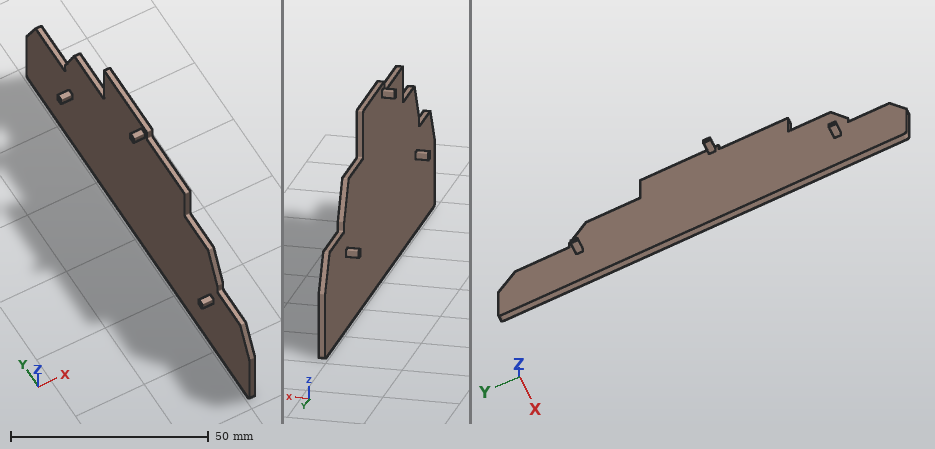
import cadquery as cq

plate_thickness = 1.7
peg_length = 3.3
plate_length = 114.7
plate_height = 52.8
half_length = plate_length / 2

lower_slope_base = 17.6
lower_shoulder = 27.3
upper_slope_base = 29.9
upper_shoulder = 40.0
notch_floor = 49.8

lower_shoulder_end = 52.6
upper_left_wall = 37.4
upper_right_wall = -40.9
upper_left_shoulder_end = 32.7
upper_right_shoulder_end = -36.1
top_left_wall = 17.5
top_right_wall = -24.1
notch_wall = -4.6

bottom_corner_radius = 1.0
step_corner_radius = 0.35

peg_width = 1.9
peg_edge_radius = 0.2
peg_centers = [(-2.8, 50.3), (34.5, 20.75), (-38.05, 20.75)]


def make_plate():
    bottom_corners = [(half_length, 0), (-half_length, 0)]
    step_corners = [
        (-half_length, lower_slope_base),
        (-lower_shoulder_end, lower_shoulder),
        (upper_right_wall, lower_shoulder),
        (upper_right_wall, upper_slope_base),
        (upper_right_shoulder_end, upper_shoulder),
        (top_right_wall, upper_shoulder),
        (top_right_wall, notch_floor),
        (notch_wall, notch_floor),
        (notch_wall, plate_height),
        (top_left_wall, plate_height),
        (top_left_wall, upper_shoulder),
        (upper_left_shoulder_end, upper_shoulder),
        (upper_left_wall, upper_slope_base),
        (upper_left_wall, lower_shoulder),
        (lower_shoulder_end, lower_shoulder),
        (half_length, lower_slope_base),
    ]
    outline = bottom_corners + step_corners
    plate = cq.Workplane("YZ").polyline(outline).close().extrude(plate_thickness)
    plate = round_corners(plate, bottom_corners, bottom_corner_radius)
    return round_corners(plate, step_corners, step_corner_radius)


def round_corners(plate, corners, radius):
    """Fillet the through-thickness edge at each (y, z) outline corner."""
    for y, z in corners:
        edge_middle = (plate_thickness / 2, y, z)
        plate = plate.edges(cq.NearestToPointSelector(edge_middle)).fillet(radius)
    return plate


def make_peg(y, z):
    """Peg running from the plate's -X face toward -X."""
    peg = cq.Workplane("YZ").center(y, z).rect(peg_width, peg_width).extrude(-peg_length)
    return peg.edges("|X").fillet(peg_edge_radius)


result = make_plate()
for peg_y, peg_z in peg_centers:
    result = result.union(make_peg(peg_y, peg_z))